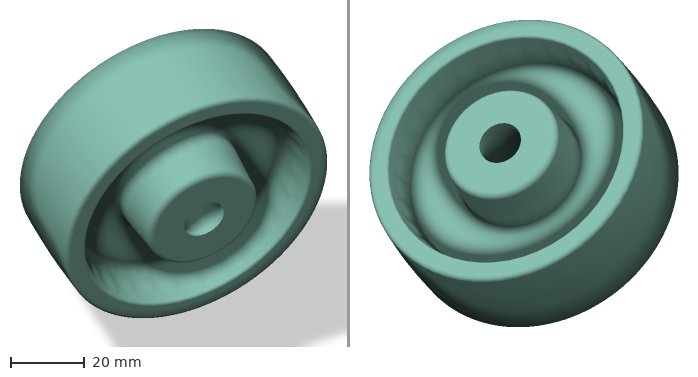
import cadquery as cq

tread_radius = 40.0
tread_edge_radius = 39.5
rim_width = 30.0
hub_length = 38.0
web_thickness = 4.0

rim_mouth_radius = 34.0
rim_foot_radius = 31.45
hub_tip_radius = 16.3
hub_foot_radius = 17.85

tread_fillet = 1.1
mouth_fillet = 0.8
inner_fillet = 1.6

seat_radius = 10.0
bore_radius = 6.0
bushing_length = 4.0

half_rim = rim_width / 2
half_hub = hub_length / 2
half_web = web_thickness / 2
spacer_length = hub_length - 2 * bushing_length


def circle_edges(solid, axial, radius):
    """Circular edges about X, at +axial and -axial, with the given radius."""
    margin = 0.1
    outer = radius + margin
    inner = radius - margin
    edges = solid.edges(cq.selectors.BoxSelector(
        (-axial - margin, -outer, -outer), (axial + margin, outer, outer), boundingbox=True))
    return edges.filter(
        lambda e: e.geomType() == "CIRCLE"
        and abs(abs(e.Center().x) - axial) < margin
        and inner < e.radius() < outer
    )


def make_wheel():
    """Revolve the crowned rim, thin web and tapered hub, then round the corners."""
    profile = (
        cq.Workplane("XY")
        .moveTo(-half_hub, seat_radius)
        .lineTo(-half_hub, hub_tip_radius)
        .lineTo(-half_web, hub_foot_radius)
        .lineTo(-half_web, rim_foot_radius)
        .lineTo(-half_rim, rim_mouth_radius)
        .lineTo(-half_rim, tread_edge_radius)
        .threePointArc((0, tread_radius), (half_rim, tread_edge_radius))
        .lineTo(half_rim, rim_mouth_radius)
        .lineTo(half_web, rim_foot_radius)
        .lineTo(half_web, hub_foot_radius)
        .lineTo(half_hub, hub_tip_radius)
        .lineTo(half_hub, seat_radius)
        .close()
    )
    wheel = profile.revolve(360, (0, 0, 0), (1, 0, 0))
    rounded_corners = [
        (half_rim, tread_edge_radius, tread_fillet),
        (half_rim, rim_mouth_radius, mouth_fillet),
        (half_web, rim_foot_radius, inner_fillet),
        (half_web, hub_foot_radius, inner_fillet),
        (half_hub, hub_tip_radius, inner_fillet),
    ]
    for axial, radius, fillet in rounded_corners:
        wheel = circle_edges(wheel, axial, radius).fillet(fillet)
    return wheel


def make_sleeve(start, length):
    """Plain sleeve that fills the hub seat from X = start over the given length."""
    return (
        cq.Workplane("YZ", origin=(start, 0, 0))
        .circle(seat_radius)
        .circle(bore_radius)
        .extrude(length)
    )


wheel = make_wheel()
spacer = make_sleeve(-spacer_length / 2, spacer_length)
bushings = [make_sleeve(start, bushing_length) for start in (-half_hub, spacer_length / 2)]

result = cq.Compound.makeCompound([
    wheel.val(),
    spacer.val(),
    *[bushing.val() for bushing in bushings],
])